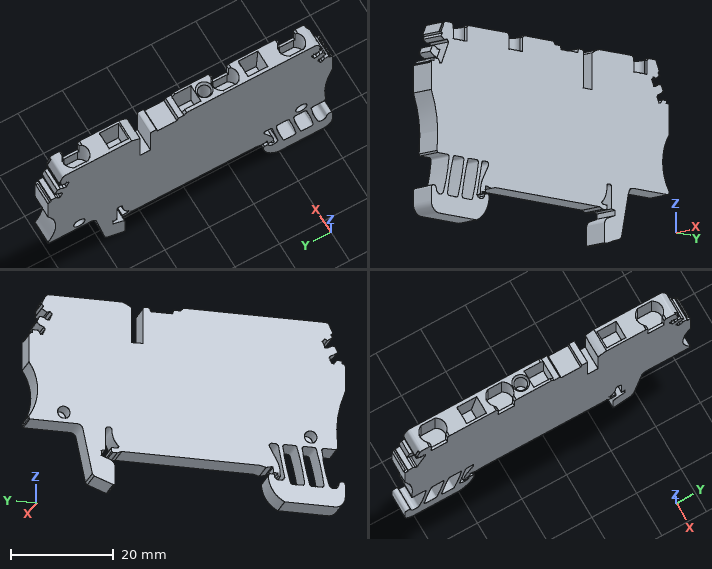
import cadquery as cq

length = 64.05
height = 38.35
thickness = 5.1
half_length = length / 2
half_thickness = thickness / 2

base_z = 12.0
rail_z = 7.1
shoulder_z = 30.1
label_z = 37.7

lip_start = (3.2, 37.7)
lip_tip = (2.5, 36.2)
upper_gap_top = (4.7, 34.3)
lower_gap_floor = (2.75, 29.9)
shoulder_bump = (1.8, 30.7)
shoulder_step = 0.7
lip_flat_end = 4.05
lip_round = 0.5
lip_drop = 0.2


def tooth_root(z):
    """Point at height z on the straight root line shared by both gaps."""
    slope = (upper_gap_top[0] - lower_gap_floor[0]) / (upper_gap_top[1] - lower_gap_floor[1])
    return (lower_gap_floor[0] + slope * (z - lower_gap_floor[1]), z)


end_teeth = [
    lip_start, lip_tip, (2.95, 35.9), (2.55, 35.3), (3.65, 34.6), (4.2, 34.85),
    upper_gap_top, tooth_root(33.05), (3.5, 33.1), (2.8, 33.55), (2.1, 33.55),
    (1.55, 32.35), (2.25, 31.8), (3.0, 31.45),
    tooth_root(31.05), lower_gap_floor, (2.4, 29.9), shoulder_bump,
    (shoulder_step, shoulder_bump[1]), (shoulder_step, shoulder_z), (0, shoulder_z),
]

cover_x = 2.1
lip_setback = 0.1
lip_cut_overrun = 0.65
shoulder_chamfer = 0.4
tooth_end_x = 0.65

pocket_depth = 6.4
driver_width = 3.85
driver_x = 0.1
wire_half_width = 2.0
wire_half_flat = 1.55
wire_half_length = 2.8
wire_centers = [24.3, -9.3, -24.3]
notch_half_top = 2.25
notch_half_width = 1.8
notch_bevel_depth = 0.45
notch_depth = 3.2
test_y = -4.6
test_radius = 1.35
test_rim_radius = 1.7
test_rim_depth = 0.65

window_floor_z = 3.85
window_mid_z = 7.95
window_pitch = 3.9
window_count = 2
window_corner_radius = 0.5

pin_hole_y = 25.0
pin_hole_z = 14.1
pin_hole_diameter = 2.5
pin_hole_depth = 3.2


def end_points(points, side):
    """Place (inward distance, z) points at the +Y end (side 1) or -Y end (side -1)."""
    return [(side * (half_length - inward), z) for inward, z in points]


def prism(points, x_start, x_end):
    """Extrude a closed Y-Z polygon between two X positions."""
    return cq.Workplane("YZ", origin=(x_start, 0, 0)).polyline(points).close().extrude(x_end - x_start)


def lines(sketch, points):
    """Continue an outline with straight stretches through the points."""
    for point in points:
        sketch = sketch.lineTo(*point)
    return sketch


def top_edge(sketch):
    """Lip, top slot and label seat, from the +Y lip to the -Y lip."""
    flat_y = half_length - lip_flat_end
    sketch = sketch.threePointArc((flat_y + lip_round, height - lip_drop), (flat_y, height))
    sketch = sketch.lineTo(13.2, height).threePointArc((12.25, 38.0), (11.3, 37.4))
    sketch = lines(sketch, [
        (11.3, shoulder_z), (8.95, shoulder_z), (8.95, 37.35),
    ])
    sketch = sketch.threePointArc((8.85, 37.6), (8.5, label_z))
    sketch = lines(sketch, [
        (7.6, label_z), (7.35, 36.95), (3.0, 36.95), (2.7, label_z),
        (1.4, label_z), (0.85, height), (-flat_y, height),
    ])
    return sketch.threePointArc((-flat_y - lip_round, height - lip_drop), end_points([lip_start], -1)[0])


def foot_edge(sketch):
    """-Y side wall, sprung foot and its hook slot, ending at the rail face."""
    sketch = sketch.lineTo(-half_length, 24.3).lineTo(-31.9, 23.9)
    sketch = sketch.threePointArc((-30.75, 20.2), (-30.3, 16.3))
    sketch = lines(sketch, [(-30.5, 12.35), (-30.3, base_z), (-27.7, base_z)])
    sketch = sketch.threePointArc((-27.35, 11.8), (-27.3, 11.3))
    sketch = sketch.threePointArc((-27.8, 8.0), (-28.7, 4.6))
    sketch = sketch.threePointArc((-29.65, 3.85), (-30.7, 4.8))
    sketch = sketch.threePointArc((-31.4, 5.45), (-half_length, 4.8))
    sketch = sketch.lineTo(-half_length, 2.2).threePointArc((-31.3, 0.6), (-29.7, 0))
    sketch = sketch.lineTo(-19.7, 0).threePointArc((-17.55, 1.8), (-16.4, 5.1))
    sketch = lines(sketch, [(-16.65, 5.6), (-17.6, 5.6), (-17.7, 5.05)])
    sketch = sketch.threePointArc((-18.75, 4.4), (-19.7, 5.1))
    sketch = sketch.lineTo(-18.5, 11.15).threePointArc((-18.25, 11.8), (-17.8, base_z))
    sketch = sketch.lineTo(-17.15, base_z).threePointArc((-16.7, 11.8), (-16.7, 11.1))
    sketch = sketch.lineTo(-18.1, 8.5).threePointArc((-18.6, 7.4), (-18.75, 5.75))
    sketch = lines(sketch, [(-18.9, 5.25), (-18.4, 5.25), (-18.3, 5.8), (-17.5, 5.95), (-17.35, 7.0)])
    return lines(sketch, [(-17.15, rail_z), (-15.95, 6.8), (-14.8, rail_z)])


def hook_edge(sketch):
    """Rail claw, rigid leg with its barb, and the +Y side wall."""
    sketch = lines(sketch, [(13.25, rail_z), (14.15, 6.7), (15.1, 6.7), (15.3, 6.9), (15.3, 7.7)])
    sketch = lines(sketch, [(14.15, 7.75), (13.85, 8.1)])
    sketch = sketch.threePointArc((14.85, 9.5), (15.25, 11.4))
    sketch = sketch.threePointArc((15.9, base_z), (16.5, 11.4))
    sketch = lines(sketch, [(16.5, rail_z), (17.35, 6.9), (17.35, 5.9), (15.75, 5.25)])
    sketch = sketch.threePointArc((15.0, 4.8), (14.6, 4.1))
    sketch = lines(sketch, [(14.6, 0.1), (15.0, 0), (18.8, 1.4), (19.2, 1.85), (21.15, 11.1)])
    sketch = sketch.threePointArc((21.6, 11.7), (22.35, base_z))
    sketch = lines(sketch, [(31.85, base_z), (half_length, 12.2), (half_length, 12.7)])
    return sketch.threePointArc((30.3, 18.25), (half_length, 23.9))


def housing():
    """Full-thickness body, its outline running +Y teeth, top, -Y teeth, foot, rail and leg."""
    rising = list(reversed(end_points(end_teeth, 1)))
    sketch = lines(cq.Workplane("YZ", origin=(-half_thickness, 0, 0)).moveTo(*rising[0]), rising[1:])
    sketch = top_edge(sketch)
    sketch = lines(sketch, end_points(end_teeth[1:], -1))
    sketch = hook_edge(foot_edge(sketch))
    return sketch.close().extrude(thickness)


def spring_windows():
    """Leaning windows that leave thin spring leaves in the foot."""
    windows = cq.Workplane()
    for index in range(window_count):
        window = (
            cq.Workplane("YZ", origin=(-half_thickness, -index * window_pitch, 0))
            .moveTo(-19.3, base_z)
            .lineTo(-22.1, base_z)
            .threePointArc((-23.1, window_mid_z), (-23.8, window_floor_z))
            .lineTo(-21.0, window_floor_z)
            .threePointArc((-20.0, window_mid_z), (-19.3, base_z))
            .close()
            .extrude(thickness)
        )
        windows = windows.add(window.edges("|X").fillet(window_corner_radius))
    return windows.combine()


def wire_entries():
    """Obround entries with a bevelled notch that opens each one to the +X side."""
    floor_z = height - pocket_depth
    entries = cq.Workplane()
    for y in wire_centers:
        entry = (
            cq.Workplane("XY", origin=(0, y, floor_z))
            .moveTo(-wire_half_width, -wire_half_flat)
            .threePointArc((0, -wire_half_length), (wire_half_width, -wire_half_flat))
            .lineTo(wire_half_width, wire_half_flat)
            .threePointArc((0, wire_half_length), (-wire_half_width, wire_half_flat))
            .close()
            .extrude(pocket_depth)
        )
        bevel_z = height - notch_bevel_depth
        notch_z = height - notch_depth
        notch = prism(
            [
                (y - notch_half_top, height), (y + notch_half_top, height),
                (y + notch_half_width, bevel_z), (y + notch_half_width, notch_z),
                (y - notch_half_width, notch_z), (y - notch_half_width, bevel_z),
            ],
            wire_half_flat, half_thickness,
        )
        entries = entries.add(entry.union(notch))
    return entries.combine()


def driver_pockets():
    """Rectangular tool pockets; the one nearest the -Y end has sloping end walls."""
    floor_z = height - pocket_depth
    pockets = cq.Workplane()
    for high_y, low_y, high_inset, low_inset in [
        (17.8, 13.5, 0, 0), (1.5, -2.8, 0, 0), (-13.45, -17.9, 1.2, 0.4),
    ]:
        section = [
            (high_y, height), (high_y - high_inset, floor_z),
            (low_y + low_inset, floor_z), (low_y, height),
        ]
        pockets = pockets.add(prism(section, driver_x - driver_width / 2, driver_x + driver_width / 2))
    return pockets.combine()


def test_socket():
    """Round socket with a conical rim."""
    bore = cq.Workplane("XY", origin=(0, test_y, height - pocket_depth)).circle(test_radius).extrude(pocket_depth)
    rim = (
        cq.Workplane("XY", origin=(0, test_y, height))
        .circle(test_rim_radius)
        .workplane(offset=-test_rim_depth)
        .circle(test_radius)
        .loft()
    )
    return bore.union(rim)


def pin_holes():
    return (
        cq.Workplane("YZ", origin=(-half_thickness, 0, 0))
        .pushPoints([(pin_hole_y, pin_hole_z), (-pin_hole_y, pin_hole_z)])
        .circle(pin_hole_diameter / 2)
        .extrude(pin_hole_depth)
    )


def partial_tooth_cut():
    """Clears the -Y tooth beyond its end, flush with the root line of both gaps."""
    section = [
        upper_gap_top, lower_gap_floor, shoulder_bump,
        (0, shoulder_bump[1]), (0, upper_gap_top[1]),
    ]
    return prism(end_points(section, -1), tooth_end_x, half_thickness)


def end_edge_cuts(side):
    """Sets back the cover layer at the lip and bevels the shoulder up to the cover layer."""
    lip_band = [
        (lip_start[0], height), (lip_tip[0] - lip_cut_overrun, lip_tip[1] - lip_cut_overrun),
        (lip_tip[0], lip_tip[1] - lip_cut_overrun),
        (lip_tip[0] + lip_setback, lip_tip[1]), (lip_start[0] + lip_setback, lip_start[1]),
    ]
    shoulder_corner = [(shoulder_chamfer, shoulder_z), (0, shoulder_z), (0, shoulder_z - shoulder_chamfer)]
    lip_cut = prism(end_points(lip_band, side), cover_x, half_thickness)
    return lip_cut.union(prism(end_points(shoulder_corner, side), -half_thickness, cover_x))


result = housing()
for cutter in [
    spring_windows(), wire_entries(), driver_pockets(),
    test_socket(), pin_holes(), partial_tooth_cut(),
]:
    result = result.cut(cutter)
for end_side in (1, -1):
    result = result.cut(end_edge_cuts(end_side))